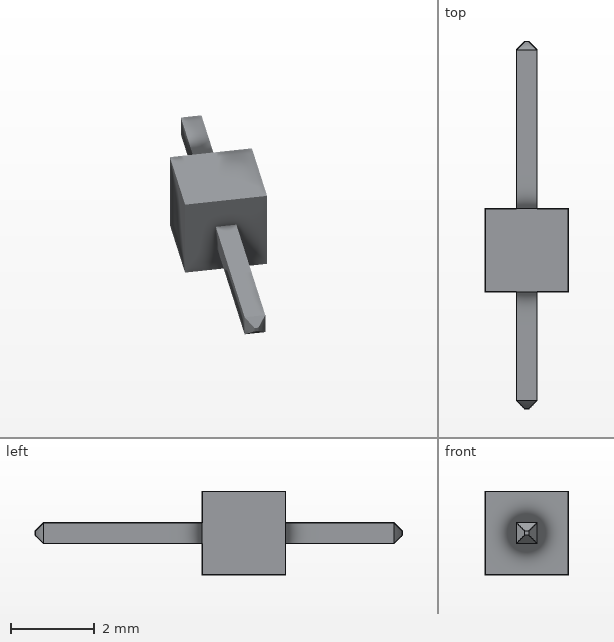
import cadquery as cq

total_length = 8.8
body_side = 2.0
front_pin_length = 2.8
pin_side = 0.5
tip_length = 0.2
tip_flat_side = 0.1

front_end = -body_side / 2 - front_pin_length
back_end = front_end + total_length


def square_section(y):
    """Plane across the pin axis at y, with its normal along +Y."""
    return cq.Workplane(cq.Plane(origin=(0, y, 0), xDir=(1, 0, 0), normal=(0, 1, 0)))


def tapered_tip(end_y, direction):
    """Truncated pyramid that narrows toward end_y; direction is +1 for +Y, -1 for -Y."""
    base_y = end_y - direction * tip_length
    return (
        square_section(base_y)
        .rect(pin_side, pin_side)
        .workplane(offset=direction * tip_length)
        .rect(tip_flat_side, tip_flat_side)
        .loft(ruled=True)
    )


body = cq.Workplane("XY").box(body_side, body_side, body_side)

shaft = (
    square_section(front_end + tip_length)
    .rect(pin_side, pin_side)
    .extrude(total_length - 2 * tip_length)
)

result = (
    body.union(shaft)
    .union(tapered_tip(front_end, -1))
    .union(tapered_tip(back_end, 1))
)